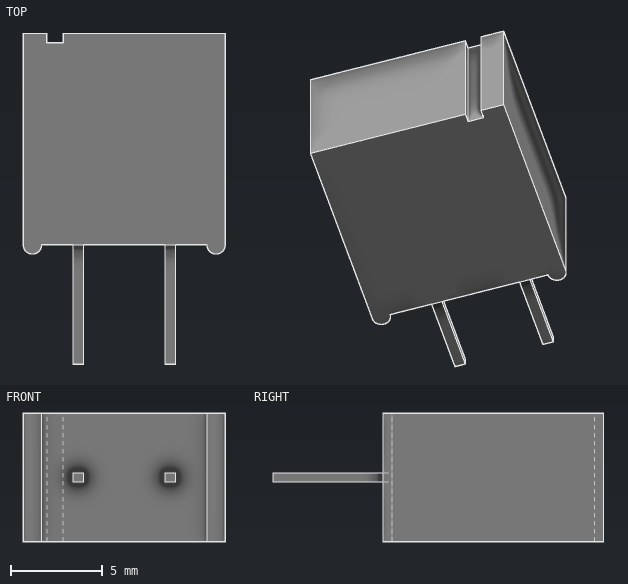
import cadquery as cq

width = 11.0
total_length = 18.0
height = 7.0

foot_radius = 0.5
foot_tip_length = 12.0
body_length = foot_tip_length - foot_radius

notch_width = 0.88
notch_depth = 0.5
notch_offset = 1.3

pin_width = 0.6
pin_thickness = 0.5
pin_pitch = 5.0
pin_length = total_length - body_length

left = -width / 2
right = width / 2
bottom = -height / 2


def make_housing():
    """Box with two half-round feet on the front face and a notch in the back face."""
    foot_diameter = 2 * foot_radius
    notch_left = left + notch_offset
    notch_right = notch_left + notch_width
    notch_floor = body_length - notch_depth
    return (
        cq.Workplane("XY", origin=(0, 0, bottom))
        .moveTo(left, 0)
        .threePointArc((left + foot_radius, -foot_radius), (left + foot_diameter, 0))
        .lineTo(right - foot_diameter, 0)
        .threePointArc((right - foot_radius, -foot_radius), (right, 0))
        .lineTo(right, body_length)
        .lineTo(notch_right, body_length)
        .lineTo(notch_right, notch_floor)
        .lineTo(notch_left, notch_floor)
        .lineTo(notch_left, body_length)
        .lineTo(left, body_length)
        .close()
        .extrude(height)
    )


def make_pin(x):
    """Rectangular pin that starts on the front face and runs toward -Y."""
    return (
        cq.Workplane("XY")
        .box(pin_width, pin_length, pin_thickness)
        .translate((x, -pin_length / 2, 0))
    )


housing = make_housing()
pins = [make_pin(side * pin_pitch / 2) for side in (-1, 1)]

result = cq.Compound.makeCompound([housing.val(), *[pin.val() for pin in pins]])